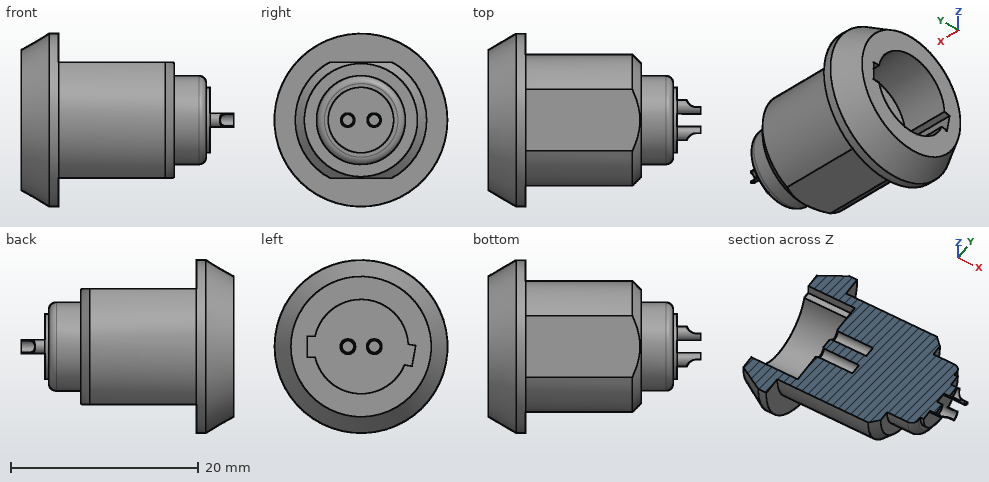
import cadquery as cq

total_length = 22.7
cone_end = 3.0
flange_end = 4.0
body_end = 16.37
plug_end = 19.77
insert_end = 20.18

front_face_radius = 7.5
flange_diameter = 18.5
flange_radius = flange_diameter / 2
body_radius = 7.01
plug_radius = 4.75
insert_radius = 3.5

body_chamfer = 0.98
plug_fillet = 0.82
flat_half_height = 6.2

socket_radius = 5.05
socket_depth = 5.8
key_reach = 5.72
key_width = 2.25
second_key_angle = 190.0

contact_offset = 1.4
contact_hole_radius = 0.64
contact_mouth_radius = 0.82
contact_mouth_depth = contact_mouth_radius - contact_hole_radius
contact_hole_depth = 4.55
pin_radius = 0.75
cup_radius = 0.61
cup_start = 20.88
scoop_radius = 1.07
scoop_center_x = 22.22


def cylinder(start, end, radius, y=0.0):
    """Cylinder along X between two stations."""
    return cq.Workplane("YZ", origin=(start, y, 0)).circle(radius).extrude(end - start)


def make_flange():
    profile = [
        (0, 0),
        (0, front_face_radius),
        (cone_end, flange_radius),
        (flange_end, flange_radius),
        (flange_end, 0),
    ]
    return cq.Workplane("XY").polyline(profile).close().revolve(360, (0, 0, 0), (1, 0, 0))


def make_body():
    body = cylinder(flange_end, body_end, body_radius).faces(">X").chamfer(body_chamfer)
    flats = cq.Workplane("XY").box(2 * total_length, 2 * body_radius, 2 * flat_half_height)
    return body.intersect(flats)


def make_plug():
    plug = cylinder(body_end, plug_end, plug_radius).faces(">X").edges().fillet(plug_fillet)
    return plug.union(cylinder(plug_end, insert_end, insert_radius))


def make_keyway(angle):
    """Slot from the axis out to the keyway floor; angle is measured about X from +Y."""
    slot = cq.Workplane("XY").box(socket_depth, key_reach, key_width, centered=(False, False, True))
    return slot.rotate((0, 0, 0), (1, 0, 0), angle)


def make_socket():
    socket = cylinder(0, socket_depth, socket_radius)
    for angle in (0.0, second_key_angle):
        socket = socket.union(make_keyway(angle))
    return socket


def make_contact_hole(y):
    """Blind hole in the socket floor with a conical mouth."""
    hole = cylinder(socket_depth, socket_depth + contact_hole_depth, contact_hole_radius, y)
    mouth = (
        cq.Workplane("YZ", origin=(socket_depth, y, 0))
        .circle(contact_mouth_radius)
        .workplane(offset=contact_mouth_depth)
        .circle(contact_hole_radius)
        .loft()
    )
    return hole.union(mouth)


def make_solder_pin(side):
    """Rear pin with a solder cup whose outward half is scooped away; side is +1 or -1 in Y."""
    y = side * contact_offset
    pin = cylinder(insert_end, total_length, pin_radius, y)
    cup = cylinder(cup_start, total_length, cup_radius, y)
    outer_y = y + side * scoop_radius
    scoop = (
        cq.Workplane("XY", origin=(0, 0, -pin_radius))
        .moveTo(scoop_center_x - scoop_radius, outer_y)
        .radiusArc((scoop_center_x, y), -side * scoop_radius)
        .lineTo(total_length, y)
        .lineTo(total_length, outer_y)
        .close()
        .extrude(2 * pin_radius)
    )
    return pin.cut(cup).cut(scoop)


result = make_flange().union(make_body()).union(make_plug()).cut(make_socket())
for side in (1, -1):
    result = result.cut(make_contact_hole(side * contact_offset))
    result = result.union(make_solder_pin(side))